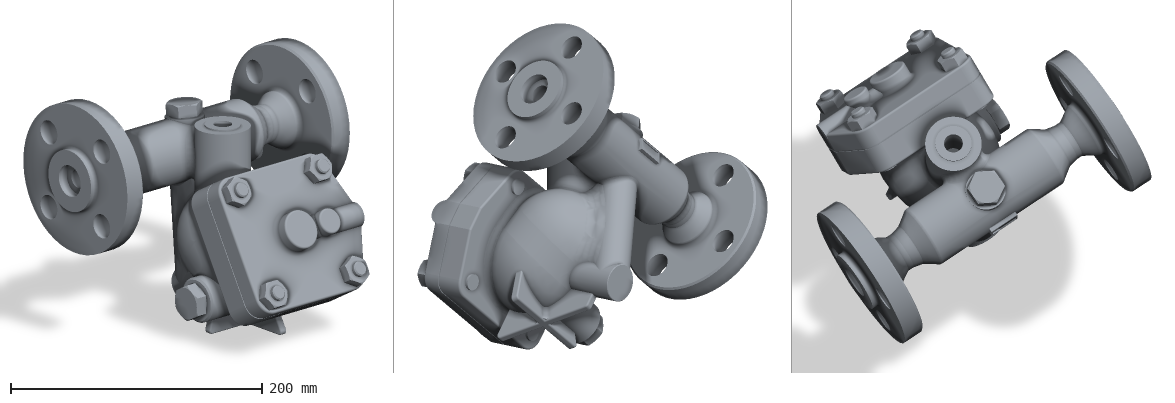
import cadquery as cq
import math

END_Y = 125.0
RAISED_HEIGHT = 6.0
RAISED_DIA = 50.8
RAISED_FILLET = 2.0
FLANGE_DIA = 124.0
FLANGE_THICK = 18.0
FLANGE_CHAMFER = 1.5
BOLT_CIRCLE = 88.9
FLANGE_HOLE_DIA = 20.0
BORE_DIA = 15.0
SOCKET_DIA = 26.0
SOCKET_DEPTH = 8.5
BARREL_DIA = 52.0
BARREL_HALF = 59.0
BARREL_FILLET = 3.4
NECK_DIA = 32.0
NECK_INNER_Y = 79.0
NECK_OUTER_Y = 84.0
REDUCER_DIA = 35.5
REDUCER_Y = 71.0
HUB_DIA = 47.0
HUB_Y = 96.5
HUB_FILLET = 3.0
HUB_RADIUS_RANK = 3

TILT = 30.0
COS_TILT = math.cos(math.radians(TILT))
SIN_TILT = math.sin(math.radians(TILT))
AXIS_DROP = 98.0
ALONG_AXIS = cq.Vector(COS_TILT, 0, SIN_TILT)
AXIS_TIP = cq.selectors.DirectionMinMaxSelector(ALONG_AXIS, True)
AXIS_START = (AXIS_DROP * SIN_TILT, 0, -AXIS_DROP * COS_TILT)

DOME_RADIUS = 46.0
DOME_DEPTH = 27.6
DOME_SHIFT = 19.6
DOME_SHIFT_ANGLE = 145.0
PAD_BACK = 49.6
JOINT_BACK = 72.2
JOINT_FRONT = 73.3
COVER_FACE = 89.0
PAD_HALF = 57.5
PAD_CORNER = 14.0
STUD_OFFSET = PAD_HALF - PAD_CORNER
BULGE_Y = 70.0
BULGE_HALF = 10.0
SHOULDER_Y = 52.3
PAD_EDGE_FILLET = 1.7
PAD_BLEND = 4.0
SEAM_TOLERANCE = 0.05
GASKET_INSET = 0.6

STUD_DIA = 12.0
STUD_TIP = 102.05
STUD_CHAMFER = 1.0
STUD_TAIL = 47.2
STUD_TAIL_DIA = 13.0
NUT_FLATS = 21.0
NUT_HEIGHT = 9.0

VALVE_BOSS_DIA = 32.0
SIDE_BOSS_DIA = 21.0
SIDE_BOSS_Y = 30.8
BOSS_TIP = 101.7
BOSS_TIP_FILLET = 1.5
BOSS_BASE_FILLET = 3.0
PASSAGE_DEPTH = 86.0

LEG_TILT = 5.0
LEG_DIA = 30.0
LEG_LENGTH = 110.0
CAP_DIA = 30.2
CAP_START = -58.0
CAP_DROP = 2.5
CAP_CHAMFER = 0.5
LEG_FILLET = 16.0
LEG_TOP_FILLET = 3.0
PLUG_FLATS = 26.0
PLUG_BOSS_DIA = 32.0
PLUG_BOSS_TOP = 26.2
PLUG_NECK_DIA = 25.0
PLUG_NECK_GAP = 1.3
PLUG_HEX_HEIGHT = 10.0

PORT_X = 43.0
PORT_DIA = 45.0
PORT_TOP = 29.0
PORT_RING_DIA = 29.0
PORT_RING_HEIGHT = 1.2
PORT_BORE_DEPTH = 40.0
PORT_BOTTOM = -50.0
PORT_FILLET = 6.0
PORT_BARREL_FILLET = 4.5
DRAIN_DIA = 37.0
DRAIN_Z = -98.1
DRAIN_END_Y = 55.0
DRAIN_CHAMFER = 1.5
BASE_Z = -129.0
RIB_THICK = 6.5
RIB_BACK = -38.5
RIB_FRONT = 37.7
RIB_TOP_Z = -90.0
RIB_HALF_Y = 44.0
RIB_TOP_HALF_Y = 34.5
RIB_CORNER = 3.0
RIB_CROSS_FILLET = 4.0
RIB_EDGE = 1.3
BADGE_LENGTH = 25.0
BADGE_HEIGHT = 10.6
BADGE_X = 28.8
BADGE_RIM = 1.2
BADGE_RECESS = 1.0


def axis_plane(station=0.0, drop=0.0):
    """Plane square to the body axis: local x is +Y, local y points up the cover."""
    origin = (
        AXIS_START[0] + station * COS_TILT + drop * SIN_TILT,
        0,
        AXIS_START[2] + station * SIN_TILT - drop * COS_TILT,
    )
    return cq.Plane(origin=origin, xDir=(0, 1, 0), normal=(COS_TILT, 0, SIN_TILT))


def on_axis(station, drop=0.0):
    return cq.Workplane(axis_plane(station, drop))


def chamfered_hex(plane, flats, height, turn=0.0):
    """Hexagon head whose outer corners are trimmed by a 30 degree cone."""
    corner_radius = flats / math.sqrt(3)
    trim = (corner_radius - flats / 2) * math.tan(math.radians(30))
    head = (
        cq.Workplane(plane)
        .transformed(rotate=(0, 0, turn))
        .polygon(6, 2 * corner_radius)
        .extrude(height)
    )
    envelope = cq.Workplane(plane).circle(corner_radius).extrude(height)
    envelope = envelope.faces(cq.selectors.DirectionMinMaxSelector(plane.zDir, True)).chamfer(
        trim, corner_radius - flats / 2
    )
    return head.intersect(envelope)


def make_barrel():
    """Thick middle of the run with a cone down to each reducer."""
    corners = [
        (0, -REDUCER_Y),
        (REDUCER_DIA / 2, -REDUCER_Y),
        (BARREL_DIA / 2, -BARREL_HALF),
        (BARREL_DIA / 2, BARREL_HALF),
        (REDUCER_DIA / 2, REDUCER_Y),
        (0, REDUCER_Y),
    ]
    barrel = cq.Workplane("XY").polyline(corners).close().revolve(360, (0, 0, 0), (0, 1, 0))
    shoulders = barrel.edges(cq.selectors.RadiusNthSelector(-1))
    return shoulders.fillet(BARREL_FILLET)


def make_pipe_end():
    """Reducer, neck, hub and flange on the +Y side, turned about the Y axis."""
    flange_front = END_Y - RAISED_HEIGHT
    flange_back = flange_front - FLANGE_THICK
    end = (
        cq.Workplane("XY")
        .moveTo(0, REDUCER_Y)
        .lineTo(REDUCER_DIA / 2, REDUCER_Y)
        .lineTo(NECK_DIA / 2, NECK_INNER_Y)
        .lineTo(NECK_DIA / 2, NECK_OUTER_Y)
        .lineTo(HUB_DIA / 2, HUB_Y)
        .lineTo(HUB_DIA / 2, flange_back)
        .lineTo(FLANGE_DIA / 2 - FLANGE_CHAMFER, flange_back)
        .lineTo(FLANGE_DIA / 2, flange_back + FLANGE_CHAMFER)
        .lineTo(FLANGE_DIA / 2, flange_front)
        .lineTo(RAISED_DIA / 2 + RAISED_FILLET, flange_front)
        .radiusArc((RAISED_DIA / 2, flange_front + RAISED_FILLET), RAISED_FILLET)
        .lineTo(RAISED_DIA / 2, END_Y)
        .lineTo(0, END_Y)
        .close()
        .revolve(360, (0, 0, 0), (0, 1, 0))
    )
    return end.edges(cq.selectors.RadiusNthSelector(HUB_RADIUS_RANK)).fillet(HUB_FILLET)


def make_pipe_ends():
    end = make_pipe_end()
    return end.add(end.mirror("XZ")).combine()


def make_flange_cuts():
    """Bolt holes and the stepped bore at both ends."""
    hole_offset = BOLT_CIRCLE / 2 / math.sqrt(2)
    cuts = (
        cq.Workplane("XZ", origin=(0, END_Y, 0))
        .rect(2 * hole_offset, 2 * hole_offset, forConstruction=True)
        .vertices()
        .circle(FLANGE_HOLE_DIA / 2)
        .extrude(END_Y - BARREL_HALF)
    )
    bore = cq.Workplane("XZ", origin=(0, END_Y, 0)).circle(BORE_DIA / 2).extrude(END_Y - BARREL_HALF)
    socket = cq.Workplane("XZ", origin=(0, END_Y, 0)).circle(SOCKET_DIA / 2).extrude(SOCKET_DEPTH)
    cuts = cuts.union(bore).union(socket)
    return cuts.union(cuts.mirror("XZ"))


def make_dome():
    """Two equal spheres joined by a cylinder along the line of their centres."""
    lower = axis_plane(DOME_DEPTH).origin
    shift = cq.Vector(
        math.cos(math.radians(DOME_SHIFT_ANGLE)), 0, math.sin(math.radians(DOME_SHIFT_ANGLE))
    )
    upper = lower + shift * DOME_SHIFT
    barrel = cq.Workplane(cq.Plane(lower, (0, 1, 0), shift)).circle(DOME_RADIUS).extrude(DOME_SHIFT)
    dome = barrel
    for centre in (lower, upper):
        dome = dome.union(cq.Workplane("XY", origin=centre.toTuple()).sphere(DOME_RADIUS))
    return dome


def leg_plane(direction, station=0.0):
    """Plane square to the tilted leg; direction +1 looks up, -1 looks down."""
    up = cq.Vector(-math.sin(math.radians(LEG_TILT)), 0, math.cos(math.radians(LEG_TILT)))
    return cq.Plane(up * station * direction, (0, 1, 0), up * direction)


def make_leg():
    """Tilted strainer leg, cut off flush with the end of the strainer cap."""
    leg = cq.Workplane(leg_plane(-1)).circle(LEG_DIA / 2).extrude(LEG_LENGTH)
    beyond_cap = on_axis(CAP_START, CAP_DROP).rect(2 * CAP_DIA, 2 * CAP_DIA).extrude(-CAP_DIA)
    return leg.cut(beyond_cap)


def make_strainer_cap():
    length = DOME_DEPTH - CAP_START
    cap = on_axis(CAP_START, CAP_DROP).circle(CAP_DIA / 2).extrude(length)
    return cap.faces("<X").chamfer(CAP_CHAMFER)


def pad_outline(station, inset=0.0):
    """Square pad with a tapered bulge towards +Y."""
    outline = [
        (-PAD_HALF, -PAD_HALF),
        (SHOULDER_Y, -PAD_HALF),
        (BULGE_Y, -BULGE_HALF),
        (BULGE_Y, BULGE_HALF),
        (SHOULDER_Y, PAD_HALF),
        (-PAD_HALF, PAD_HALF),
    ]
    pad = on_axis(station).polyline(outline).close()
    if inset:
        pad = pad.offset2D(-inset)
    return pad


def make_pad(start, end, inset=0.0):
    """Pad between two stations, rounded at its four stud corners."""
    pad = pad_outline(start, inset).extrude(end - start)
    corners = pad.edges(cq.selectors.ParallelDirSelector(ALONG_AXIS)).filter(
        lambda edge: abs(edge.Center().y) < BULGE_Y - PAD_CORNER
        or edge.Center().y < 0
    )
    return pad.newObject(corners.vals()).fillet(PAD_CORNER - inset)


def make_pads():
    """Body flange, recessed gasket and cover, stacked along the body axis."""
    back = cq.selectors.DirectionMinMaxSelector(ALONG_AXIS, False)
    body_pad = make_pad(PAD_BACK, JOINT_BACK).faces(back).edges().fillet(PAD_EDGE_FILLET)
    gasket = make_pad(JOINT_BACK, JOINT_FRONT, GASKET_INSET)
    cover = make_pad(JOINT_FRONT, COVER_FACE).faces(AXIS_TIP).edges().fillet(PAD_EDGE_FILLET)
    return body_pad.union(gasket).union(cover)


def make_cover_boss(diameter, offset_y):
    """Turned boss with a rounded tip and a flared foot on the cover face."""
    radius = diameter / 2
    height = BOSS_TIP - COVER_FACE
    root = axis_plane(COVER_FACE).toWorldCoords((offset_y, 0))
    profile_plane = cq.Plane(root, (0, 1, 0), (SIN_TILT, 0, -COS_TILT))
    return (
        cq.Workplane(profile_plane)
        .moveTo(0, JOINT_FRONT - COVER_FACE)
        .lineTo(radius + BOSS_BASE_FILLET, JOINT_FRONT - COVER_FACE)
        .lineTo(radius + BOSS_BASE_FILLET, 0)
        .radiusArc((radius, BOSS_BASE_FILLET), BOSS_BASE_FILLET)
        .lineTo(radius, height - BOSS_TIP_FILLET)
        .radiusArc((radius - BOSS_TIP_FILLET, height), -BOSS_TIP_FILLET)
        .lineTo(0, height)
        .close()
        .revolve(360, (0, 0, 0), (0, 1, 0))
    )


def make_cover_bosses():
    """Two bosses on the cover and the round rib that runs from them to the bulge."""
    rib = (
        cq.Workplane(cq.Plane(axis_plane(PASSAGE_DEPTH).origin, (1, 0, 0), (0, 1, 0)))
        .circle(SIDE_BOSS_DIA / 2)
        .extrude(BULGE_Y)
    )
    return (
        rib
        .union(make_cover_boss(VALVE_BOSS_DIA, 0))
        .union(make_cover_boss(SIDE_BOSS_DIA, SIDE_BOSS_Y))
    )


def make_studs():
    """Four studs with nuts; neighbouring nuts are turned by 30 degrees."""
    studs = []
    for side in (-1, 1):
        for level in (-1, 1):
            offset = (side * STUD_OFFSET, level * STUD_OFFSET)
            nut_plane = cq.Plane(axis_plane(COVER_FACE).toWorldCoords(offset), (0, 1, 0), ALONG_AXIS)
            nut = chamfered_hex(nut_plane, NUT_FLATS, NUT_HEIGHT, 0 if side == level else 30)
            tip = on_axis(COVER_FACE).center(*offset).circle(STUD_DIA / 2).extrude(STUD_TIP - COVER_FACE)
            tip = tip.faces(AXIS_TIP).chamfer(STUD_CHAMFER)
            tail = on_axis(STUD_TAIL).center(*offset).circle(STUD_TAIL_DIA / 2)
            tail = tail.extrude(JOINT_BACK - STUD_TAIL)
            studs.extend([nut, tip, tail])
    return studs


def make_top_plug():
    """Hexagon plug and its boss on top of the barrel, in line with the leg."""
    boss = cq.Workplane(leg_plane(1)).circle(PLUG_BOSS_DIA / 2).extrude(PLUG_BOSS_TOP)
    neck_top = PLUG_BOSS_TOP + PLUG_NECK_GAP
    neck = cq.Workplane(leg_plane(1)).circle(PLUG_NECK_DIA / 2).extrude(neck_top)
    head = chamfered_hex(leg_plane(1, neck_top), PLUG_FLATS, PLUG_HEX_HEIGHT, 30)
    return boss.union(neck).union(head)


def make_drain():
    """Drain boss on the -Y side of the dome with its hexagon plug."""
    drain_x = axis_plane(DOME_DEPTH).origin.x

    def facing_out(y):
        return cq.Plane((drain_x, y, DRAIN_Z), (1, 0, 0), (0, -1, 0))

    neck_end = DRAIN_END_Y + PLUG_NECK_GAP
    boss = cq.Workplane(facing_out(0)).circle(DRAIN_DIA / 2).extrude(DRAIN_END_Y)
    boss = boss.faces("<Y").chamfer(DRAIN_CHAMFER)
    neck = cq.Workplane(facing_out(0)).circle(PLUG_NECK_DIA / 2).extrude(neck_end)
    head = chamfered_hex(facing_out(-neck_end), PLUG_FLATS, PLUG_HEX_HEIGHT, 30)
    return boss.union(neck).union(head)


def make_port():
    return (
        cq.Workplane("XY", origin=(PORT_X, 0, PORT_BOTTOM))
        .circle(PORT_DIA / 2)
        .extrude(PORT_TOP - PORT_BOTTOM)
    )


def make_port_ring():
    return (
        cq.Workplane("XY", origin=(PORT_X, 0, PORT_TOP))
        .circle(PORT_RING_DIA / 2)
        .extrude(PORT_RING_HEIGHT)
    )


def make_port_bore():
    top = PORT_TOP + PORT_RING_HEIGHT
    return cq.Workplane("XY", origin=(PORT_X, 0, top)).circle(BORE_DIA / 2).extrude(-PORT_BORE_DEPTH)


def make_feet():
    """Two crossed ribs under the dome."""
    cross_x = axis_plane(DOME_DEPTH).origin.x

    def slanted_x(station, z):
        return (station - z * SIN_TILT) / COS_TILT

    long_rib = (
        cq.Workplane("XZ", origin=(0, RIB_THICK / 2, 0))
        .polyline([
            (slanted_x(RIB_BACK, BASE_Z), BASE_Z),
            (slanted_x(RIB_FRONT, BASE_Z), BASE_Z),
            (slanted_x(RIB_FRONT, RIB_TOP_Z), RIB_TOP_Z),
            (slanted_x(RIB_BACK, RIB_TOP_Z), RIB_TOP_Z),
        ])
        .close()
        .extrude(RIB_THICK)
        .edges("|Y and <Z")
        .fillet(RIB_CORNER)
        .faces("<Y or >Y")
        .edges()
        .fillet(RIB_EDGE)
    )
    cross_rib = (
        cq.Workplane("YZ", origin=(cross_x - RIB_THICK / 2, 0, 0))
        .polyline([
            (-RIB_HALF_Y, BASE_Z),
            (RIB_HALF_Y, BASE_Z),
            (RIB_TOP_HALF_Y, RIB_TOP_Z),
            (-RIB_TOP_HALF_Y, RIB_TOP_Z),
        ])
        .close()
        .extrude(RIB_THICK)
        .edges("|X and <Z")
        .fillet(RIB_CORNER)
        .faces("<X or >X")
        .edges()
        .fillet(RIB_EDGE)
    )
    web_half = RIB_THICK / 2 + RIB_CROSS_FILLET
    web = (
        cq.Workplane("XY", origin=(cross_x, 0, BASE_Z + RIB_EDGE))
        .rect(2 * web_half, 2 * web_half)
        .extrude(RIB_TOP_Z - BASE_Z - RIB_EDGE)
    )
    hollows = (
        cq.Workplane("XY", origin=(cross_x, 0, BASE_Z))
        .rect(2 * web_half, 2 * web_half, forConstruction=True)
        .vertices()
        .circle(RIB_CROSS_FILLET)
        .extrude(RIB_TOP_Z - BASE_Z)
    )
    return long_rib.union(cross_rib).union(web.cut(hollows))


def make_badge():
    """Framed rectangular badge on the -X side of the barrel."""
    badge = cq.Workplane("XY").box(BADGE_X, BADGE_LENGTH, BADGE_HEIGHT).translate((-BADGE_X / 2, 0, 0))
    return (
        badge.faces("<X")
        .workplane()
        .rect(BADGE_LENGTH - 2 * BADGE_RIM, BADGE_HEIGHT - 2 * BADGE_RIM)
        .cutBlind(-BADGE_RECESS)
    )


def blend(first, second, radius):
    """Join two bodies and round the curved seam between them."""
    return first.union(second).edges("%BSPLINE").fillet(radius)


def blend_dome_and_pads():
    """Join the dome to the pads and round the seam that lies on the back of the body pad."""
    joined = make_dome().union(make_pads())

    def on_pad_back(edge):
        ends = (edge.startPoint(), edge.endPoint())
        return all(abs(end.dot(ALONG_AXIS) - PAD_BACK) < SEAM_TOLERANCE for end in ends)

    def inside_rim(edge):
        return abs(edge.Center().y) < DOME_RADIUS and edge.geomType() != "LINE"

    seam = joined.edges().filter(lambda edge: on_pad_back(edge) and inside_rim(edge))
    return joined.newObject(seam.vals()).fillet(PAD_BLEND)


def make_casting():
    """Dome, pads, strainer leg, port and barrel, each pair blended into one another."""
    return (
        blend_dome_and_pads()
        .union(blend(make_dome(), make_leg(), LEG_FILLET))
        .union(blend(make_dome(), make_port(), PORT_FILLET))
        .union(blend(make_barrel(), make_leg(), LEG_TOP_FILLET))
        .union(blend(make_barrel(), make_port(), PORT_BARREL_FILLET))
    )


result = (
    make_casting()
    .union(make_strainer_cap())
    .union(make_pipe_ends())
    .union(make_cover_bosses())
    .union(make_top_plug())
    .union(make_drain())
    .union(make_port_ring())
    .union(make_feet())
    .union(make_badge())
)
for stud in make_studs():
    result = result.union(stud)
result = result.cut(make_flange_cuts()).cut(make_port_bore())